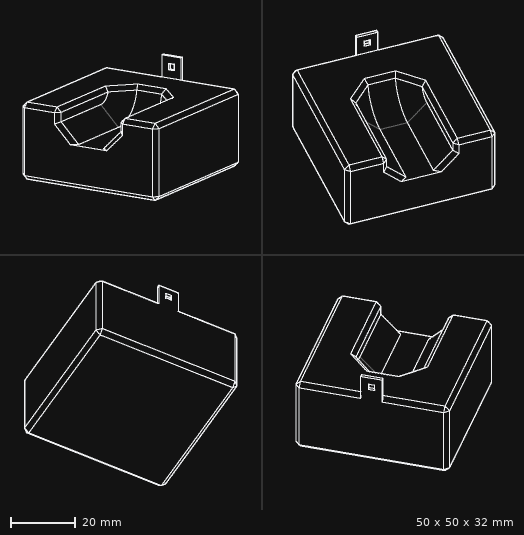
import cadquery as cq
import math

block_side = 50
block_height = 25
edge_chamfer = 1.5
front_y = -block_side / 2
back_y = block_side / 2

channel_radius = 11
half_flat = channel_radius * math.tan(math.pi / 8)

tab_width = 7
tab_rise = 7
tab_thickness = 1
tab_hole = 2


def half_octagon(plane, side):
    """Half an octagon centred on the top face; side is 1 or -1 along the plane's second axis."""
    points = [
        (-channel_radius, 0),
        (-channel_radius, side * half_flat),
        (-half_flat, side * channel_radius),
        (half_flat, side * channel_radius),
        (channel_radius, side * half_flat),
        (channel_radius, 0),
    ]
    return cq.Workplane(plane, origin=(0, 0, block_height)).polyline(points).close()


def make_channel():
    """Half-octagon trough running to the front, with a revolved inner end."""
    trough = half_octagon("XZ", -1).extrude(block_side / 2)
    rounded_end = half_octagon("XY", 1).revolve(360, (0, 0, 0), (1, 0, 0))
    return trough.union(rounded_end)


def make_body():
    """Block with the channel; every outer edge is chamfered except at the channel floor."""
    block = cq.Workplane("XY").box(
        block_side, block_side, block_height, centered=(True, True, False)
    )
    body = block.cut(make_channel())
    floor_edge = cq.selectors.NearestToPointSelector(
        (0, front_y, block_height - channel_radius)
    )
    outer_faces = body.faces("<X or >X or <Y or >Y or <Z or >Z")
    return outer_faces.edges(-floor_edge).chamfer(edge_chamfer)


def make_tab():
    """Thin upright plate with a square hole through it."""
    plate = cq.Workplane("XY").box(
        tab_width, tab_thickness, tab_rise + edge_chamfer, centered=(True, True, False)
    )
    plate = plate.translate((0, back_y - tab_thickness / 2, block_height - edge_chamfer))
    hole = cq.Workplane("XY").box(tab_hole, 2 * tab_thickness, tab_hole)
    return plate.cut(hole.translate((0, back_y - tab_thickness / 2, block_height + tab_rise / 2)))


result = make_body().union(make_tab())